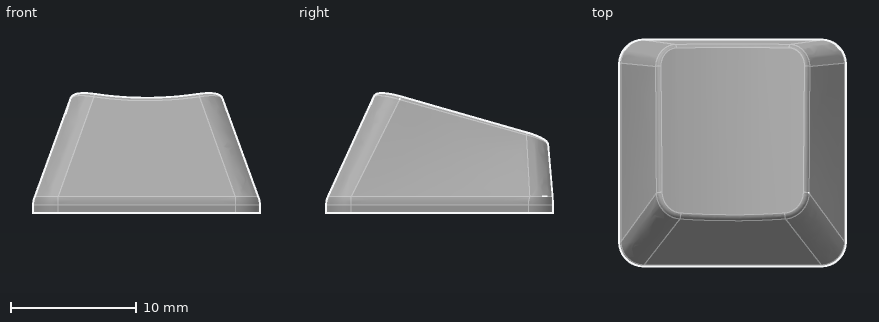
import cadquery as cq
import math

base_size = 18.16
base_half = base_size / 2
corner_radius = 2.0
skirt_height = 0.65

band_height = 0.68

rim_half_width = 5.96
rim_front_y = -4.92
rim_back_y = 8.64
rim_back_radius = 1.8
rim_centre_y = (rim_front_y + rim_back_y) / 2
rim_centre_height = 8.09
rim_tilt = math.radians(16.1)

dish_radius = 26.0
dish_depth = 0.8
dish_edge_radius = 0.4


def rim_plane():
    """Plane through the middle of the rim, sloping down towards +Y."""
    return cq.Plane(
        origin=(0, rim_centre_y, rim_centre_height),
        xDir=(1, 0, 0),
        normal=(0, math.sin(rim_tilt), math.cos(rim_tilt)),
    )


def rounded_outline(plane, width, length, front_radius, back_radius):
    """Rectangle centred on the plane, with its front (-Y) and back corners rounded."""
    outline = cq.Workplane(plane).rect(width, length).val()
    corners = sorted(outline.Vertices(), key=lambda corner: corner.Y)
    front_rounded = outline.fillet2D(front_radius, corners[:2])
    return front_rounded.fillet2D(back_radius, corners[2:])


def inset_outline(height, side_inset=0, front_inset=0, back_inset=0):
    """Level outline, drawn in from the edges of the base."""
    plane = cq.Plane(origin=(0, (front_inset - back_inset) / 2, height))
    width = base_size - 2 * side_inset
    length = base_size - front_inset - back_inset
    radius = corner_radius - side_inset
    return rounded_outline(plane, width, length, radius, radius)


def band_outline(share):
    """Outline at a share of the band's height; the inset grows with the square of it."""
    rise = band_height / 2
    corner_height = skirt_height + rise
    rim_half_drop = (rim_back_y - rim_front_y) / 2 * math.tan(rim_tilt)

    def inset(wall_run, rim_height):
        wall_slope = wall_run / (rim_height - corner_height)
        return share**2 * rise * wall_slope

    return inset_outline(
        skirt_height + share * band_height,
        side_inset=inset(base_half - rim_half_width, rim_centre_height),
        front_inset=inset(base_half + rim_front_y, rim_centre_height + rim_half_drop),
        back_inset=inset(base_half - rim_back_y, rim_centre_height - rim_half_drop),
    )


def make_body():
    """Skirt, curved band and straight-lined walls up to the tilted rim."""
    foot = inset_outline(0)
    band_bottom = band_outline(0)
    band_middle = band_outline(0.5)
    band_top = band_outline(1)
    rim_length = (rim_back_y - rim_front_y) / math.cos(rim_tilt)
    rim = rounded_outline(rim_plane(), 2 * rim_half_width, rim_length, corner_radius, rim_back_radius)

    skirt = cq.Solid.makeLoft([foot, band_bottom], True)
    band = cq.Solid.makeLoft([band_bottom, band_middle, band_top])
    walls = cq.Solid.makeLoft([band_top, rim], True)
    return cq.Workplane(skirt).union(cq.Workplane(band)).union(cq.Workplane(walls))


def make_dish():
    """Long cylinder whose lowest line lies dish_depth below the rim plane."""
    plane = rim_plane()
    start = plane.toWorldCoords((0, -base_size, dish_radius - dish_depth))
    return cq.Workplane(cq.Solid.makeCylinder(dish_radius, 2 * base_size, start, plane.yDir))


dished_body = make_body().cut(make_dish())
dish_face = dished_body.faces("%CYLINDER").faces(">Z")
result = dish_face.edges().fillet(dish_edge_radius)